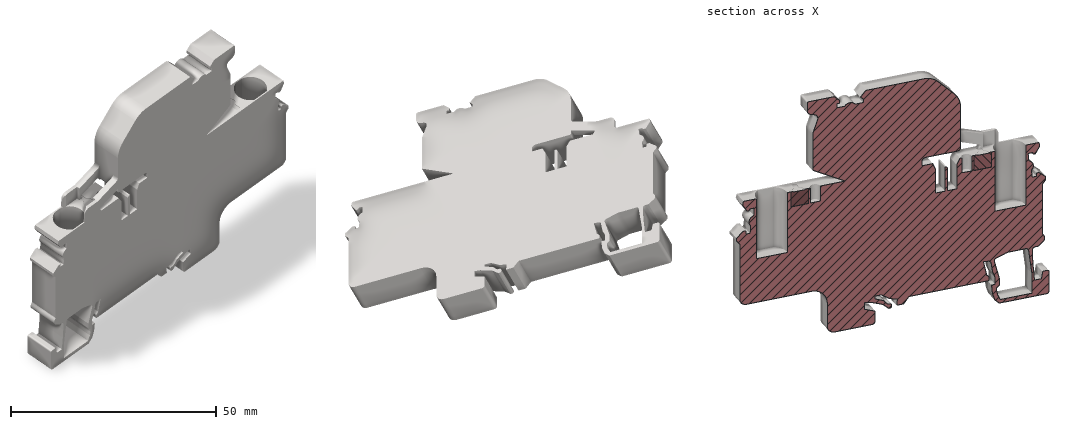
import cadquery as cq
import math

WIDTH = 8.0
HEIGHT = 66.3

MID_Y = 0.4
DECK_Z = 42.3
BELT_Z = 16.7
BASE_Z = 13.6
END_WALL = 40.2
TOWER_UNDERSIDE_Z = 44.3
TOWER_FRONT_Y = -18.1
POST_START_Y = -25.0

WIRE_REACH = 31.6
WIRE_RADIUS = 4.1
WIRE_OFFSET_X = 0.25
WIRE_SIDE_WALL = 0.3
WIRE_DEPTH = 16.6
PUSHER_OUTER = 26.5
PUSHER_INNER = 20.5
PUSHER_WIDTH = 6.8
PUSHER_HEIGHT = 4.15
BOSS_REACH = 18.2
BOSS_RADIUS = 3.8
TEST_HOLE_REACH = 20.05
TEST_HOLE_RADIUS = 1.25
TEST_HOLE_DEPTH = 4.15
KEYHOLE_REACH = 24.4
KEYHOLE_RADIUS = 1.5
KEYHOLE_BAR = (6.3, 1.25)
KEYHOLE_DEPTH = 0.2

ARM_GAP = 4.6
POST_GAP = 6.3
TOWER_EDGE_RADIUS = 1.0


def toward(start, end, distance):
    """Point at a distance from start on the way to end."""
    part = distance / math.dist(start, end)
    return (start[0] + part * (end[0] - start[0]), start[1] + part * (end[1] - start[1]))


def plate(corners):
    """Full-width plate from (y, z) corners; a third number rounds that corner to a radius."""
    outline = cq.Workplane("YZ", origin=(-WIDTH / 2, 0, 0))
    started = False
    for i, corner in enumerate(corners):
        point = corner[:2]
        path = [point]
        if len(corner) == 3:
            radius = corner[2]
            before = toward(point, corners[i - 1][:2], 0.8)
            after = toward(point, corners[(i + 1) % len(corners)][:2], 0.8)
            half_angle = math.asin(math.dist(before, after) / 1.65)
            setback = radius / math.tan(half_angle)
            middle = ((before[0] + after[0]) / 2, (before[1] + after[1]) / 2)
            crown = toward(point, middle, radius / math.sin(half_angle) - radius)
            path = [toward(point, before, setback), crown, toward(point, after, setback)]
        outline = outline.lineTo(*path[0]) if started else outline.moveTo(*path[0])
        started = True
        if len(path) == 3:
            outline = outline.threePointArc(path[1], path[2])
    return outline.close().extrude(WIDTH)


def terminal_end(side):
    """Half of the upper housing, with the marker groove and the lip at its end."""
    profile = [
        (0, DECK_Z),
        (39.2, DECK_Z),
        (39.4, 41.3),
        (38.2, 39.3),
        (37.45, 39.35),
        (37.45, 39.8),
        (36.4, 39.8),
        (36.45, 37.95),
        (38.45, 36.4, 1.5),
        (37.3, 35.1),
        (37.3, 34.55),
        (37.45, 33.1),
        (38.45, 33.1),
        (38.45, 34.05),
        (39.2, 34.05),
        (41.0, 32.5),
        (41.0, 31.65),
        (END_WALL, 30.65),
        (END_WALL, BELT_Z),
        (0, BELT_Z),
    ]
    return plate([(MID_Y + side * reach, *rest) for reach, *rest in profile])


def base():
    """Lower housing with the fixed claw, the spring finger and the snap latch for the rail."""
    fixed_claw = [
        (MID_Y + END_WALL, BELT_Z),
        (MID_Y + END_WALL, BASE_Z, 1.8),
        (17.4, BASE_Z, 4.15),
        (17.4, 1.1, 2.1),
        (4.6, 1.1, 0.8),
        (4.6, 4.7),
        (7.4, 5.8),
        (7.4, 7.5),
    ]
    spring_finger = [
        (5.8, 7.3),
        (2.65, 6.05),
        (1.1, 4.6),
        (0.25, 4.6, 0.5),
        (0.25, 6.0, 0.5),
        (1.3, 6.0),
        (2.5, 7.2),
        (4.6, 8.1),
        (4.6, 8.8),
        (3.1, 8.8, 0.8),
        (0.8, 7.3),
        (-1.2, 6.7),
    ]
    rail_seat = [
        (-1.0, 5.05),
        (-2.9, 5.05),
        (-4.3, 6.8),
        (-25.6, 6.8),
        (-25.6, 7.9),
        (-24.9, 8.5),
        (-24.1, 12.35),
        (-25.9, 12.1, 0.8),
    ]
    snap_latch = [
        (-26.4, 8.95),
        (-27.1, 7.4),
        (-27.1, 5.55),
        (-26.1, 5.55),
        (-26.35, 3.15),
        (-27.0, 1.2),
        (-28.25, 0.0),
        (-41.4, 0.0, 0.7),
        (-41.4, 6.55, 0.4),
        (-39.7, 6.55, 0.3),
        (-39.35, 4.55),
        (-37.6, 4.55),
        (-37.3, 8.3),
        (-37.1, 10.85),
        (-37.0, BASE_Z, 0.7),
    ]
    end_lug = [
        (-38.5, BASE_Z),
        (-40.85, 15.4, 1.25),
        (MID_Y - END_WALL, BELT_Z),
    ]
    latch_window = [
        (-28.5, 1.1),
        (-27.8, 2.5),
        (-27.6, 3.6),
        (-27.6, 4.4),
        (-28.3, 5.05, 0.3),
        (-28.3, 6.8),
        (-26.85, 12.4, 0.7),
        (-30.3, BASE_Z, 2.5),
        (-35.9, BASE_Z, 0.7),
        (-36.8, 6.6),
        (-36.8, 1.1),
    ]
    return plate(fixed_claw + spring_finger + rail_seat + snap_latch + end_lug).cut(plate(latch_window))


def tower():
    """Raised part over the deck, with its nose, its marker groove and the arms to the front."""
    back = [
        (12.85, DECK_Z),
        (21.2, 47.0),
        (21.2, 57.3, 2.5),
        (19.55, 61.9, 1.2),
        (22.7, 62.8, 1.3),
        (22.7, HEIGHT, 0.4),
    ]
    marker_groove = [
        (15.5, HEIGHT),
        (14.1, 64.95),
        (14.1, 64.05),
        (14.7, 64.05),
        (14.7, 63.05),
        (12.8, 63.05),
        (11.35, 64.7, 1.7),
        (9.95, 63.05),
        (7.9, 63.05),
        (7.9, 64.0),
        (8.6, 64.6),
        (7.1, HEIGHT),
    ]
    front = [
        (-10.4, HEIGHT, 5.4),
        (TOWER_FRONT_Y, 58.7, 6.1),
        (TOWER_FRONT_Y, 48.7, 1.0),
        (-25.0, 46.3),
        (-29.6, 46.3, 1.4),
        (-29.7, DECK_Z),
    ]
    return plate(back + marker_groove + front)


def bridge_opening():
    """Opening under the tower and the arms, with the two bridge slots below it."""
    return plate([
        (-23.9, DECK_Z),
        (-24.5, 43.3, 0.3),
        (TOWER_FRONT_Y, 45.65),
        (TOWER_FRONT_Y, TOWER_UNDERSIDE_Z, 0.3),
        (-7.8, TOWER_UNDERSIDE_Z, 1.0),
        (-7.8, DECK_Z),
        (-10.6, DECK_Z),
        (-11.35, 40.7),
        (-11.35, 34.05),
        (-13.8, 34.05),
        (-13.8, 40.7),
        (-14.25, 40.7),
        (-14.6, 40.2),
        (-14.6, 34.05),
        (-16.9, 34.05),
        (-16.9, 40.7),
        (-17.8, DECK_Z),
    ])


def front_gap():
    """Space over the deck that splits the front bridge into two arms and two posts."""
    end_y = MID_Y - END_WALL
    gap_height = HEIGHT - DECK_Z
    arms = cq.Workplane().box(ARM_GAP, TOWER_FRONT_Y - end_y, gap_height, centered=(True, False, False))
    posts = cq.Workplane().box(POST_GAP, POST_START_Y - end_y, gap_height, centered=(True, False, False))
    return arms.union(posts).translate((0, end_y, DECK_Z))


def tower_edge_round():
    """Material cut away to round the lower front edge of the tower between the arms."""
    radius = TOWER_EDGE_RADIUS
    plane = cq.Workplane("YZ", origin=(-ARM_GAP / 2, TOWER_FRONT_Y, TOWER_UNDERSIDE_Z))
    corner = plane.rect(radius, radius, centered=False).extrude(ARM_GAP)
    return corner.cut(plane.center(radius, radius).circle(radius).extrude(ARM_GAP))


def wire_entry(side):
    """Round wire hole, flattened where it would break through the side walls.

    It is cut up to the full height, which also hollows the front posts.
    """
    height = WIRE_DEPTH + HEIGHT - DECK_Z
    bore = cq.Workplane().center(WIRE_OFFSET_X, 0).circle(WIRE_RADIUS).extrude(height)
    limit = cq.Workplane().rect(WIDTH - 2 * WIRE_SIDE_WALL, 3 * WIRE_RADIUS).extrude(height)
    return bore.intersect(limit).translate((0, MID_Y + side * WIRE_REACH, DECK_Z - WIRE_DEPTH))


def test_hole(side):
    """Small blind hole in the round boss at the inner end of a pusher."""
    hole = cq.Workplane().circle(TEST_HOLE_RADIUS).extrude(TEST_HOLE_DEPTH)
    return hole.translate((0, MID_Y + side * TEST_HOLE_REACH, DECK_Z - TEST_HOLE_DEPTH))


def pusher_block(side):
    """Block flush with the deck, hollowed by the round boss at its inner end."""
    length = PUSHER_OUTER - PUSHER_INNER
    middle_y = MID_Y + side * (PUSHER_OUTER + PUSHER_INNER) / 2
    bottom = cq.Workplane(origin=(0, 0, DECK_Z - PUSHER_HEIGHT))
    block = bottom.center(0, middle_y).rect(PUSHER_WIDTH, length).extrude(PUSHER_HEIGHT)
    boss = bottom.center(0, MID_Y + side * BOSS_REACH).circle(BOSS_RADIUS).extrude(PUSHER_HEIGHT)
    return block.cut(boss)


def pusher(side):
    """Pusher with a shallow keyhole recess for a screwdriver or a test probe."""
    floor = cq.Workplane(origin=(0, MID_Y + side * KEYHOLE_REACH, DECK_Z - KEYHOLE_DEPTH))
    bar = floor.rect(*KEYHOLE_BAR).extrude(KEYHOLE_DEPTH)
    keyhole = floor.circle(KEYHOLE_RADIUS).extrude(KEYHOLE_DEPTH).union(bar)
    return pusher_block(side).cut(keyhole)


def make_housing():
    """Housing in one piece: terminal ends, base and tower, less all openings."""
    body = base().union(tower())
    for side in (-1, 1):
        body = body.union(terminal_end(side))
    body = body.cut(bridge_opening()).cut(front_gap()).cut(tower_edge_round())
    for side in (-1, 1):
        body = body.cut(wire_entry(side)).cut(test_hole(side)).cut(pusher_block(side))
    return body


housing = make_housing()
pushers = [pusher(side) for side in (-1, 1)]

result = cq.Compound.makeCompound([housing.val(), *[body.val() for body in pushers]])